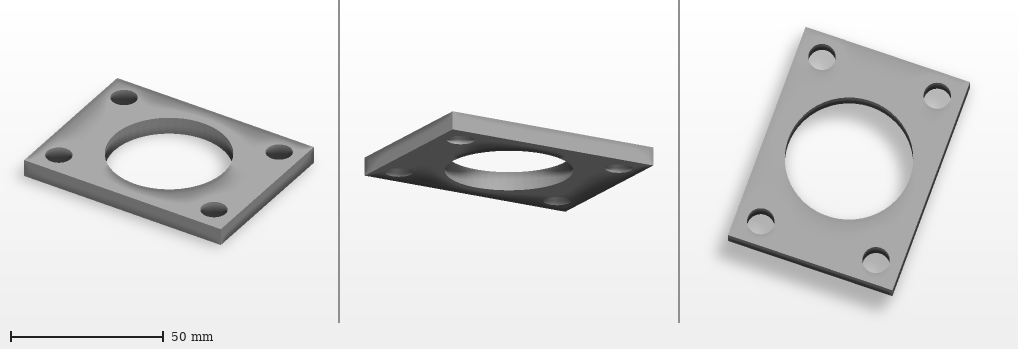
import cadquery as cq

length = 76.0
width = 57.0
thickness = 6.2

bore_diameter = 42.0

bolt_diameter = 9.0
bolt_spacing_x = 60.0
bolt_spacing_y = 40.0

plate = cq.Workplane("XY").box(length, width, thickness)

bored_plate = plate.faces(">Z").workplane().hole(bore_diameter)

result = (
    bored_plate.faces(">Z")
    .workplane(origin=(0, 0, 0))
    .rect(bolt_spacing_x, bolt_spacing_y, forConstruction=True)
    .vertices()
    .hole(bolt_diameter)
)